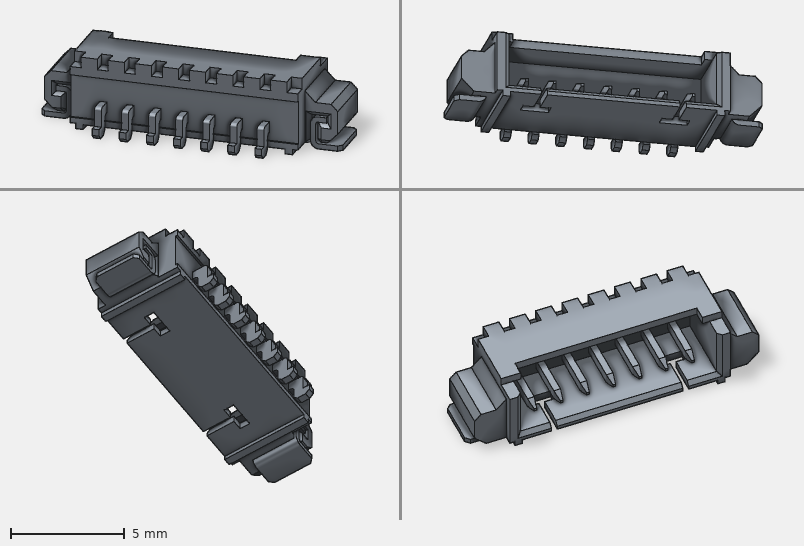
import cadquery as cq
import math


OVERALL_WIDTH = 13.9

PIN_COUNT = 7
PITCH = 1.25
PIN_WIDTH = 0.32
PIN_THICKNESS = 0.5
PIN_TOP = 1.39
PIN_REACH = 1.0
PIN_LEG_OUTER = 0.68
PIN_TAIL_CHAMFER = 0.2
PIN_OUTER_BEND = 0.17
PIN_INNER_BEND = 0.2
PIN_TIP_Y = 3.53
PIN_TAPER_LENGTH = 0.51
PIN_TIP_SIZE = 0.13

HALF_WIDTH = 5.25
DEPTH = 4.2
HEIGHT = 3.4
END_BOTTOM = 0.25
MIDDLE_BOTTOM = 0.22
RIB_WIDTH = 0.35
RIB_INSET = 0.25
RECESS_DEPTH = 0.1
RECESS_BOTTOM = 0.51
RECESS_TOP = 2.52
NOTCH_WIDTH = 0.5
NOTCH_DEPTH = 0.63
NOTCH_HEIGHT = 0.5

ROOF_EDGE_Y = 2.6
ROOF_CORNER_Y = 3.22
ROOF_CORNER_WIDTH = 0.93
WALL_TOP = 3.02
WALL_THICKNESS = 0.58
FLOOR_TOP = 0.6
CAVITY_BACK = 1.0
MOUTH_CHAMFER = 0.2

SLOT_X = 2.5 * PITCH
SLOT_WIDTH = 0.28
SLOT_HEAD_WIDTH = PITCH
SLOT_HEAD_FRONT = 2.77
SLOT_HEAD_LENGTH = 0.5

WING_REAR = 1.0
WING_FRONT = 3.81
WING_REACH = 1.52
WING_BOTTOM = 0.25
WING_SLOPE = 0.49
WING_TOP = 2.18
WING_TOP_CHAMFER = 0.3
WING_BOTTOM_CHAMFER = 0.55
NAIL_THICKNESS = 0.25
NAIL_GAP = 0.25
NAIL_TOP = 1.52
NAIL_HOOK_REACH = 0.99
NAIL_FOOT_REACH = OVERALL_WIDTH / 2 - HALF_WIDTH
NAIL_FRONT = 3.31
NAIL_FOOT_CHAMFER = 0.2
HOOK_BEND_RADIUS = 0.1
FOOT_BEND_RADIUS = 0.14
SLOT_CLEARANCE = 0.04
LEAD_IN = 0.21


def box(x0, x1, y0, y1, z0, z1):
    """Block between the given limits."""
    return cq.Workplane("XY").box(x1 - x0, y1 - y0, z1 - z0, centered=False).translate((x0, y0, z0))


def both_ends(shape):
    """A left-end shape together with its mirror image at the right end."""
    return shape.union(shape.mirror("YZ"))


def xz_prism(points, y0, y1):
    """Prism with an XZ outline running from y0 to y1."""
    return cq.Workplane("XZ", origin=(0, y0, 0)).polyline(points).close().extrude(y0 - y1)


def housing_block():
    middle = HALF_WIDTH - RIB_INSET - RIB_WIDTH / 2
    body = box(-middle, middle, 0, DEPTH, MIDDLE_BOTTOM, HEIGHT)
    body = body.union(box(-HALF_WIDTH, HALF_WIDTH, 0, DEPTH, END_BOTTOM, HEIGHT))
    rib_left = -HALF_WIDTH + RIB_INSET
    ribs = both_ends(box(rib_left, rib_left + RIB_WIDTH, 0, DEPTH, 0, FLOOR_TOP))
    recess = box(-HALF_WIDTH, HALF_WIDTH, 0, RECESS_DEPTH, RECESS_BOTTOM, RECESS_TOP)
    return body.union(ribs).cut(recess)


def roof_cuts():
    lug_inner = HALF_WIDTH - ROOF_CORNER_WIDTH
    front = box(-HALF_WIDTH, HALF_WIDTH, ROOF_CORNER_Y, DEPTH, WALL_TOP, HEIGHT)
    cuts = front.union(box(-lug_inner, lug_inner, ROOF_EDGE_Y, DEPTH, WALL_TOP, HEIGHT))
    for i in range(PIN_COUNT + 2):
        x = (i - (PIN_COUNT + 1) / 2) * PITCH
        cuts = cuts.union(
            box(x - NOTCH_WIDTH / 2, x + NOTCH_WIDTH / 2, 0, NOTCH_DEPTH, HEIGHT - NOTCH_HEIGHT, HEIGHT)
        )
    return cuts


def cavity():
    half = HALF_WIDTH - WALL_THICKNESS
    hollow = box(-half, half, CAVITY_BACK, DEPTH, FLOOR_TOP, WALL_TOP)
    wide = half + MOUTH_CHAMFER
    mouth = (
        cq.Workplane("XZ", origin=(0, DEPTH, 0))
        .polyline([(-wide, WALL_TOP), (-wide, FLOOR_TOP - MOUTH_CHAMFER),
                   (wide, FLOOR_TOP - MOUTH_CHAMFER), (wide, WALL_TOP)]).close()
        .workplane(offset=MOUTH_CHAMFER)
        .polyline([(-half, WALL_TOP), (-half, FLOOR_TOP), (half, FLOOR_TOP), (half, WALL_TOP)]).close()
        .loft(ruled=True)
    )
    return hollow.union(mouth)


def floor_slots():
    head_left = -SLOT_X - SLOT_HEAD_WIDTH / 2
    head = box(head_left, head_left + SLOT_HEAD_WIDTH,
               SLOT_HEAD_FRONT - SLOT_HEAD_LENGTH, SLOT_HEAD_FRONT, 0, FLOOR_TOP)
    stem_left = -SLOT_X - SLOT_WIDTH / 2
    stem = box(stem_left, stem_left + SLOT_WIDTH, SLOT_HEAD_FRONT, DEPTH, 0, FLOOR_TOP)
    return both_ends(head.union(stem))


def pin():
    """One pin centred on X = 0: gull-wing tail, straight shank and tapered contact tip."""
    shank_end = PIN_TIP_Y - PIN_TAPER_LENGTH
    leg_inner = -PIN_LEG_OUTER + PIN_THICKNESS
    shank_bottom = PIN_TOP - PIN_THICKNESS
    c = PIN_TAIL_CHAMFER
    outline = [
        (shank_end, PIN_TOP), (-PIN_LEG_OUTER, PIN_TOP), (-PIN_LEG_OUTER, PIN_THICKNESS),
        (-PIN_REACH, PIN_THICKNESS), (-PIN_REACH, c), (-PIN_REACH + c, 0),
        (leg_inner - c, 0), (leg_inner, c), (leg_inner, shank_bottom), (shank_end, shank_bottom),
    ]
    body = cq.Workplane("YZ").polyline(outline).close().extrude(PIN_WIDTH / 2, both=True)
    outer_bend = cq.selectors.NearestToPointSelector((0, -PIN_LEG_OUTER, PIN_TOP))
    body = body.edges(outer_bend).fillet(PIN_OUTER_BEND)
    inner_bend = cq.selectors.NearestToPointSelector((0, leg_inner, shank_bottom))
    body = body.edges(inner_bend).fillet(PIN_INNER_BEND)
    tip = (
        cq.Workplane("XZ", origin=(0, shank_end, PIN_TOP - PIN_THICKNESS / 2))
        .rect(PIN_WIDTH, PIN_THICKNESS)
        .workplane(offset=-PIN_TAPER_LENGTH)
        .rect(PIN_TIP_SIZE, PIN_TIP_SIZE)
        .loft(ruled=True)
    )
    return body.union(tip)


def slot_outline(margin):
    """Outline of the left nail slot, corners cut to suit the bends, grown on every side by the margin."""
    strip_right = -HALF_WIDTH - NAIL_GAP
    strip_left = strip_right - NAIL_THICKNESS - SLOT_CLEARANCE
    hook_end = -HALF_WIDTH - NAIL_HOOK_REACH - margin
    hook_bottom = NAIL_TOP - NAIL_THICKNESS - SLOT_CLEARANCE - margin
    foot_end = -HALF_WIDTH - NAIL_FOOT_REACH - margin
    shift = margin * math.tan(math.radians(22.5))
    outer_cut = FOOT_BEND_RADIUS + NAIL_THICKNESS - shift
    inner_cut = FOOT_BEND_RADIUS + shift
    return [
        (hook_end, NAIL_TOP + margin), (hook_end, hook_bottom), (strip_left - margin, hook_bottom),
        (strip_left - margin, NAIL_THICKNESS + inner_cut), (strip_left - inner_cut, NAIL_THICKNESS + margin),
        (foot_end, NAIL_THICKNESS + margin), (foot_end, -margin),
        (strip_right - outer_cut, -margin), (strip_right + margin, outer_cut),
        (strip_right + margin, NAIL_TOP + margin),
    ]


def wing():
    """Left wing with its nail slot, bevelled at the rear entry."""
    root = -HALF_WIDTH
    tip = -HALF_WIDTH - WING_REACH
    outline = [
        (root, WING_BOTTOM), (root, WING_TOP + WING_SLOPE), (root - WING_SLOPE, WING_TOP),
        (tip + WING_TOP_CHAMFER, WING_TOP), (tip, WING_TOP - WING_TOP_CHAMFER),
        (tip, WING_BOTTOM + WING_BOTTOM_CHAMFER), (tip + WING_BOTTOM_CHAMFER, WING_BOTTOM),
    ]
    slot = xz_prism(slot_outline(0), WING_REAR, NAIL_FRONT)
    lead_in = (
        cq.Workplane("XZ", origin=(0, WING_REAR, 0))
        .polyline(slot_outline(LEAD_IN)).close()
        .workplane(offset=-LEAD_IN)
        .polyline(slot_outline(0)).close()
        .loft(ruled=True)
    )
    return xz_prism(outline, WING_REAR, WING_FRONT).cut(slot).cut(lead_in)


def fillet_y_edge(shape, x, z, radius):
    """Round the edge that runs along Y at the given X and Z."""
    middle = (x, (WING_REAR + NAIL_FRONT) / 2, z)
    return shape.edges(cq.selectors.NearestToPointSelector(middle)).fillet(radius)


def nail():
    """Left solder nail: hook in the wing, vertical strip and flat foot on the board."""
    strip_right = -HALF_WIDTH - NAIL_GAP
    strip_left = strip_right - NAIL_THICKNESS
    hook_end = -HALF_WIDTH - NAIL_HOOK_REACH
    foot_end = -HALF_WIDTH - NAIL_FOOT_REACH
    outline = [
        (strip_right, 0), (strip_right, NAIL_TOP), (hook_end, NAIL_TOP),
        (hook_end, NAIL_TOP - NAIL_THICKNESS), (strip_left, NAIL_TOP - NAIL_THICKNESS),
        (strip_left, NAIL_THICKNESS), (foot_end, NAIL_THICKNESS), (foot_end, 0),
    ]
    strip = xz_prism(outline, WING_REAR, NAIL_FRONT)
    strip = fillet_y_edge(strip, strip_right, NAIL_TOP, HOOK_BEND_RADIUS + NAIL_THICKNESS)
    strip = fillet_y_edge(strip, strip_left, NAIL_TOP - NAIL_THICKNESS, HOOK_BEND_RADIUS)
    strip = fillet_y_edge(strip, strip_right, 0, FOOT_BEND_RADIUS + NAIL_THICKNESS)
    strip = fillet_y_edge(strip, strip_left, NAIL_THICKNESS, FOOT_BEND_RADIUS)
    return strip.edges("|Z and <X").chamfer(NAIL_FOOT_CHAMFER)


result = housing_block().cut(roof_cuts()).cut(cavity()).cut(floor_slots())
result = result.union(both_ends(wing().union(nail())))
for i in range(PIN_COUNT):
    result = result.union(pin().translate(((i - (PIN_COUNT - 1) / 2) * PITCH, 0, 0)))